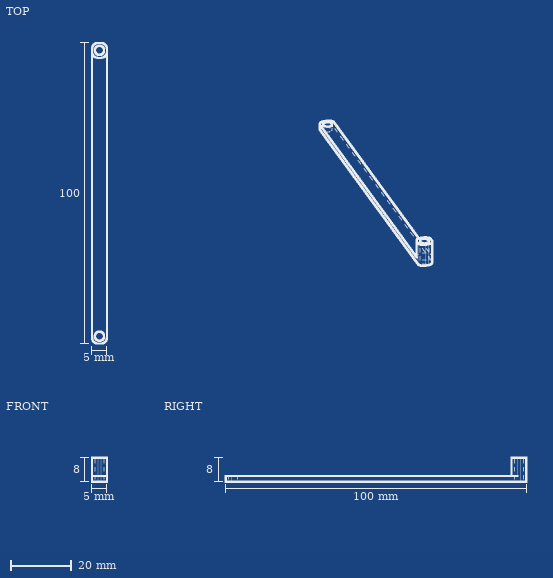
import cadquery as cq

length = 100.0
width = 5.0
arm_thickness = 2.0
boss_height = 8.0
corner_radius = 2.0
hole_diameter = 3.0

end_y = (length - width) / 2


def rounded_block(size_y, height, center_y):
    """Block as wide as the arm, standing on Z = 0, with rounded vertical edges."""
    block = cq.Workplane("XY").center(0, center_y).rect(width, size_y).extrude(height)
    return block.edges("|Z").fillet(corner_radius)


def make_holes():
    """Cutters for the through holes at both ends of the arm."""
    centers = [(0, -end_y), (0, end_y)]
    return cq.Workplane("XY").pushPoints(centers).circle(hole_diameter / 2).extrude(boss_height)


arm = rounded_block(length, arm_thickness, 0)
boss = rounded_block(width, boss_height, end_y)

result = arm.union(boss).cut(make_holes()).clean()